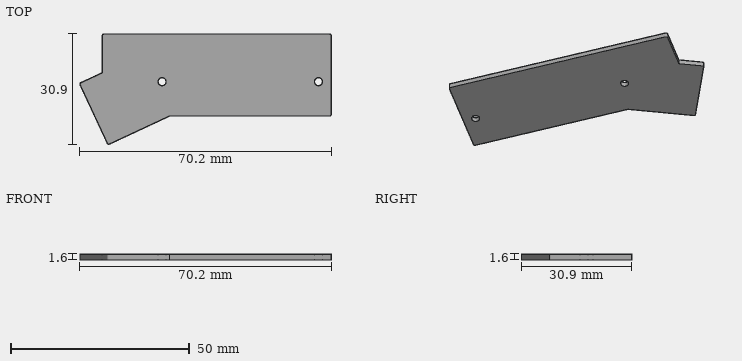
import cadquery as cq
import math

total_length = 70.25
total_depth = 30.85
thickness = 1.6

body_length = 64.0
body_depth = 23.0

arm_width = 19.0
arm_length = 28.1
arm_angle = 25.0

corner_radius = 0.5

hole_diameter = 2.2
hole_spacing = 43.7
hole_edge_distance = 3.6
hole_y = total_depth - 13.35


def make_body():
    body = cq.Workplane("XY").box(body_length, body_depth, thickness, centered=False)
    body = body.edges("|Z").fillet(corner_radius)
    return body.translate((total_length - body_length, total_depth - body_depth, 0))


def make_arm():
    """Tilted rectangle whose rounded outer end touches X = 0 and Y = 0."""
    arm = cq.Workplane("XY").box(arm_length, arm_width, thickness, centered=False)
    arm = arm.edges("|Z and <X").fillet(corner_radius)
    arm = arm.translate((-corner_radius, -corner_radius, 0))
    arm = arm.rotate((0, 0, 0), (0, 0, 1), arm_angle)
    arc_center_spacing = arm_width - 2 * corner_radius
    lower_arc_x = corner_radius + arc_center_spacing * math.sin(math.radians(arm_angle))
    return arm.translate((lower_arc_x, corner_radius, 0))


def make_holes():
    right_hole_x = total_length - hole_edge_distance
    centers = [(right_hole_x - hole_spacing, hole_y), (right_hole_x, hole_y)]
    return cq.Workplane("XY").pushPoints(centers).circle(hole_diameter / 2).extrude(thickness)


result = make_body().union(make_arm()).cut(make_holes())